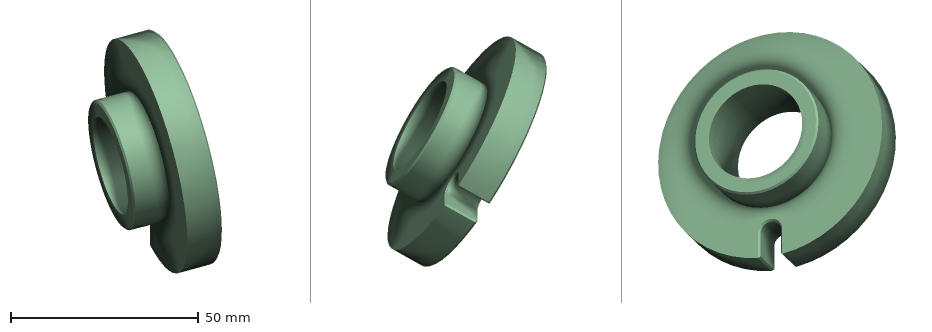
import cadquery as cq
import math

flange_diameter = 64.9
hub_diameter = 36.0
bore_diameter = 27.0
flange_thickness = 10.0
total_length = 20.0
edge_chamfer = 0.5
slot_width = 6.0
slot_center_drop = 25.05

hub_length = total_length - flange_thickness
slot_reach = flange_diameter / 2


def disc(diameter, length, start_y):
    """Cylinder along +Y whose front face is at start_y."""
    plane = cq.Workplane("XZ", origin=(0, start_y, 0))
    return plane.circle(diameter / 2).extrude(-length)


def slot_outline(width, y):
    """Closed outline of the rim slot, in the plane at the given y."""
    radius = width / 2
    bottom_z = -slot_center_drop - slot_reach
    return (
        cq.Workplane("XZ", origin=(0, y, 0))
        .moveTo(-radius, bottom_z)
        .lineTo(-radius, -slot_center_drop)
        .threePointArc((0, radius - slot_center_drop), (radius, -slot_center_drop))
        .lineTo(radius, bottom_z)
        .close()
    )


flange = disc(flange_diameter, flange_thickness, 0).faces(">Y").edges().chamfer(edge_chamfer)

hub = disc(hub_diameter, hub_length, -hub_length).faces("<Y").edges().chamfer(edge_chamfer)

bore = disc(bore_diameter, total_length, -hub_length)

slot = slot_outline(slot_width, 0).extrude(-flange_thickness)
slot_bevel = slot_outline(slot_width + 2 * edge_chamfer, 0).extrude(-edge_chamfer, taper=45)

mouth_half_width = slot_width / 2 + edge_chamfer
mouth_z = -math.sqrt((flange_diameter / 2) ** 2 - mouth_half_width**2)
mouth_bevel = (
    cq.Workplane("XZ")
    .moveTo(-mouth_half_width, mouth_z - edge_chamfer)
    .lineTo(-mouth_half_width, mouth_z)
    .lineTo(-slot_width / 2, mouth_z + edge_chamfer)
    .lineTo(slot_width / 2, mouth_z + edge_chamfer)
    .lineTo(mouth_half_width, mouth_z)
    .lineTo(mouth_half_width, mouth_z - edge_chamfer)
    .close()
    .extrude(-flange_thickness)
)

result = flange.union(hub).cut(bore).cut(slot).cut(slot_bevel).cut(mouth_bevel)